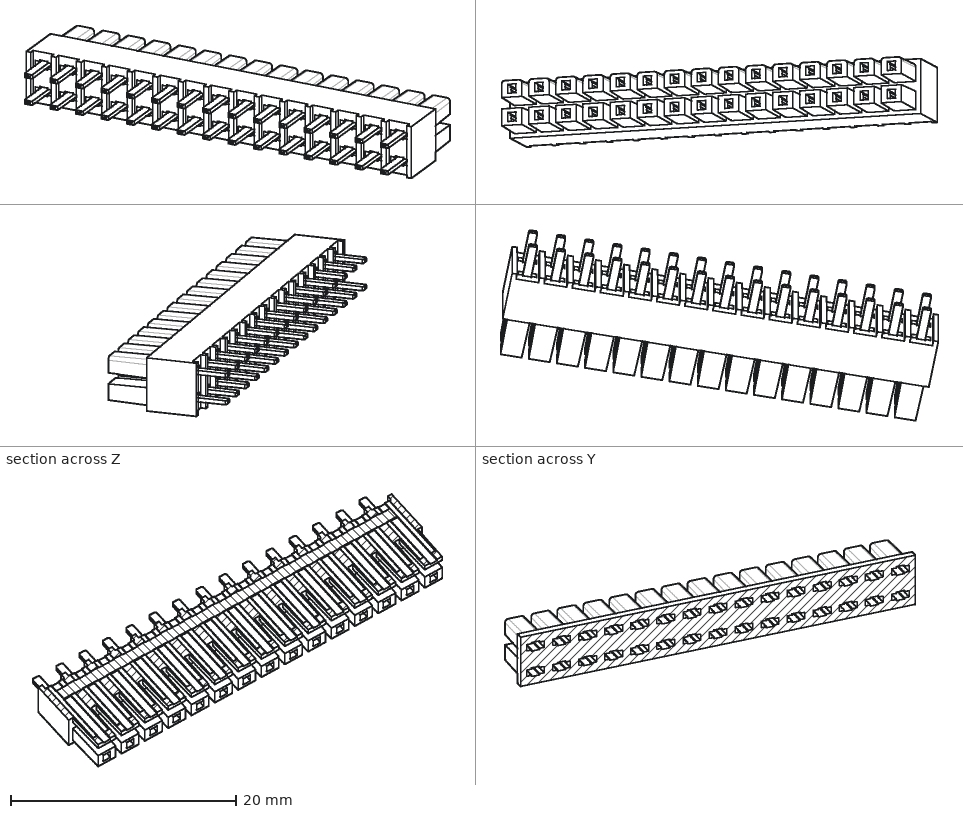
import cadquery as cq
import math

LENGTH = 38.48
DEPTH = 11.05
HEIGHT = 4.95
PIN_END_Y = -DEPTH / 2
SLEEVE_END_Y = DEPTH / 2

COLUMNS = 15
END_MARGIN = 0.19
PITCH = (LENGTH - 2 * END_MARGIN) / COLUMNS
COLUMN_XS = [(i - (COLUMNS - 1) / 2) * PITCH for i in range(COLUMNS)]
ROW_ZS = [-PITCH / 2, PITCH / 2]
CONTACT_CENTERS = [(x, z) for x in COLUMN_XS for z in ROW_ZS]

PIN_LENGTH = 3.05
STANDOFF = 0.5
SLEEVE_LENGTH = 3.8
FLOOR_Y = PIN_END_Y + PIN_LENGTH
RIB_END_Y = FLOOR_Y - STANDOFF
SLEEVE_BASE_Y = SLEEVE_END_Y - SLEEVE_LENGTH

SLEEVE_WIDTH = 2.05
SLEEVE_HEIGHT = 1.65
SLEEVE_CORNER_RADIUS = 0.4
SLEEVE_DRAFT = 1.0
SLEEVE_END_WIDTH = SLEEVE_WIDTH - 2 * SLEEVE_LENGTH * math.tan(math.radians(SLEEVE_DRAFT))

PASSAGE_HEIGHT = 0.8
SLOT_HEIGHT = 0.58
SLOT_SIDE_WALL = 0.1
SLOT_WIDTH = SLEEVE_END_WIDTH - 2 * SLOT_SIDE_WALL
SLOT_END_WALL = 0.92
SLOT_END_Y = SLEEVE_END_Y - SLOT_END_WALL

PIN_WIDTH = 0.77
PIN_THICKNESS = 0.4
SIDE_CHAMFER_LENGTH = 0.2
SIDE_CHAMFER_INSET = 0.15
FACE_CHAMFER_LENGTH = 0.1
FACE_CHAMFER_INSET = 0.1
BAR_COVER = 0.77
BAR_DEPTH = 1.15
BAR_FRONT_Y = FLOOR_Y + BAR_COVER
BAR_BACK_Y = BAR_FRONT_Y + BAR_DEPTH
BAR_LENGTH = (COLUMNS - 1) * PITCH + PIN_WIDTH


def boxes(width, height, y_start, y_end, centers):
    """Equal boxes from y_start to y_end, one centred on each (x, z) point."""
    return (
        cq.Workplane("XZ", origin=(0, y_start, 0))
        .pushPoints(centers)
        .rect(width, height)
        .extrude(y_start - y_end)
    )


def make_pin(x, z):
    """One flat pin whose tip is chamfered on its two narrow sides, then on its two wide faces."""
    pin = boxes(PIN_WIDTH, PIN_THICKNESS, PIN_END_Y, BAR_BACK_Y, [(x, z)])
    pin = pin.faces("<Y").edges("|Z").chamfer(SIDE_CHAMFER_LENGTH, SIDE_CHAMFER_INSET)
    return pin.faces("<Y").edges("|X").chamfer(FACE_CHAMFER_LENGTH, FACE_CHAMFER_INSET).val()


def make_contacts():
    """All pins and the bar that joins them, which spans between the centre lines of the two rows."""
    bar = boxes(BAR_LENGTH, PITCH, BAR_FRONT_Y, BAR_BACK_Y, [(0, 0)]).val()
    return cq.Workplane(bar.fuse(*[make_pin(x, z) for x, z in CONTACT_CENTERS]))


def make_sleeve(x, z):
    """One drafted sleeve; those of the upper row have both upper corners rounded."""
    profile = cq.Sketch().rect(SLEEVE_WIDTH, SLEEVE_HEIGHT)
    if z > 0:
        profile = profile.vertices(">Y").fillet(SLEEVE_CORNER_RADIUS)
    base = cq.Plane(origin=(x, SLEEVE_BASE_Y, z), xDir=(-1, 0, 0), normal=(0, 1, 0))
    return cq.Workplane(base).placeSketch(profile).extrude(SLEEVE_LENGTH, taper=SLEEVE_DRAFT).val()


def make_housing(contacts):
    """The block with its standoff ribs and sleeves, opened up for the contacts."""
    block = boxes(LENGTH, HEIGHT, RIB_END_Y, SLEEVE_BASE_Y, [(0, 0)]).val()
    body = block.fuse(*[make_sleeve(x, z) for x, z in CONTACT_CENTERS])

    bays = boxes(SLEEVE_WIDTH, HEIGHT, RIB_END_Y, FLOOR_Y, [(x, 0) for x in COLUMN_XS])

    passages = boxes(PIN_WIDTH, PASSAGE_HEIGHT, FLOOR_Y, SLEEVE_END_Y, CONTACT_CENTERS)
    slots = boxes(SLOT_WIDTH, SLOT_HEIGHT, FLOOR_Y, SLOT_END_Y, CONTACT_CENTERS)
    openings = [*bays.vals(), *passages.vals(), *slots.vals()]

    return cq.Workplane(body.cut(*openings).cut(contacts.val()))


contacts = make_contacts()
housing = make_housing(contacts)
result = cq.Compound.makeCompound([housing.solids().val(), contacts.solids().val()])